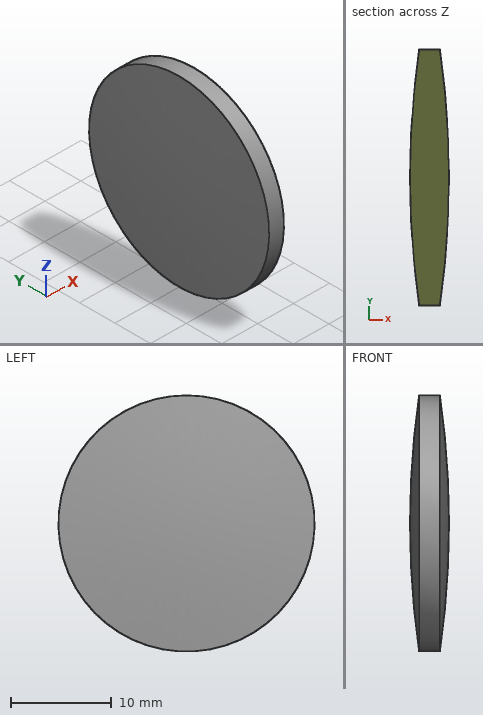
import cadquery as cq

diameter = 25.41
center_thickness = 3.9
edge_thickness = 2.08

radius = diameter / 2
half_center = center_thickness / 2
half_edge = edge_thickness / 2

cap_height = half_center - half_edge
sphere_radius = (radius**2 + cap_height**2) / (2 * cap_height)

mid_radius = radius / 2
sphere_center = half_center - sphere_radius
mid_x = sphere_center + (sphere_radius**2 - mid_radius**2) ** 0.5


def lens_half_section():
    """Half cross-section in the XZ plane, from the optical axis out to the rim."""
    return (
        cq.Workplane("XZ")
        .moveTo(-half_center, 0)
        .threePointArc((-mid_x, mid_radius), (-half_edge, radius))
        .lineTo(half_edge, radius)
        .threePointArc((mid_x, mid_radius), (half_center, 0))
        .close()
    )


result = lens_half_section().revolve(360, (0, 0, 0), (1, 0, 0))